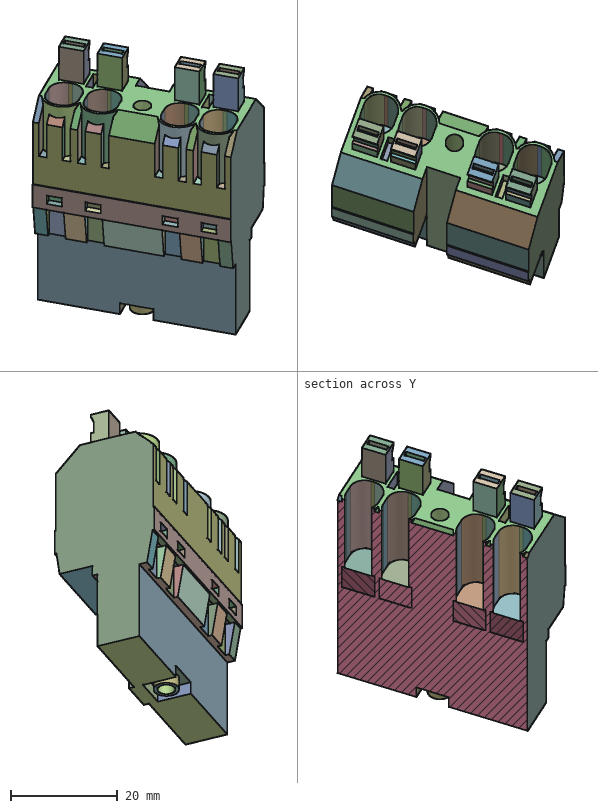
import cadquery as cq

WIDTH = 39.0
DEPTH = 20.6
HEIGHT = 52.4

TOP_Z = 45.05
BAND_TOP_Z = 27.6
BAND_BOTTOM_Z = 22.55
REAR_SHOULDER_Z = 17.85
TAIL_TOP_Z = 15.8

BAND_PROUD = 0.2
FRONT_CHAMFER = 3.65
REAR_CHAMFER = 5.05
TAPER_INSET = 0.35
FRONT_TAPER_FOOT_Y = 1.5
REAR_TAPER_FOOT_INSET = 1.0
TAIL_FRONT_Y = 3.1
TAIL_REAR_Y = 11.75
NECK_REAR_Y = 12.8

PITCH = 7.6
POLE_XS = [step * PITCH for step in (-2, -1, 1, 2)]

HOLE_WIDTH = 6.6
HOLE_LENGTH = 7.75
HOLE_CORNER_RADIUS = 2.95
HOLE_CENTRE_Y = 5.85
FUNNEL_RADIUS = 4.0
FUNNEL_Y = 5.35

SLOT_SPAN = 6.2
TONGUE_WIDTH = 3.1
SLOT_FLOOR_Z = 34.05

WINDOW_WIDTH = 3.05
WINDOW_BOTTOM_Z = 23.85
WINDOW_HEIGHT = 1.9
WINDOW_DEPTH = 1.35

NOTCH_WIDTH = 3.45
NOTCH_BACK_Y = 2.3

LEVER_WIDTH = 4.9
LEVER_FRONT_Y = 10.25
LEVER_REAR_Y = 14.05
LEVER_BOTTOM_Z = BAND_TOP_Z
HOOK_LIP_Z = 52.0
HOOK_NECK_Z = 50.65
HOOK_STEP_Z = 48.4
HOOK_DEPTH = 0.65
LEVER_GROOVE_LENGTH = 4.0
LEVER_GROOVE_WIDTH = 1.0
LEVER_GROOVE_DEPTH = 2.1

POCKET_X = 1.5 * PITCH
POCKET_WIDTH = 1.35
POCKET_FRONT_Y = 9.6
POCKET_REAR_Y = 14.1
POCKET_DEPTH = 3.15

CHANNEL_WIDTH = 6.6
SCREW_Y = 6.6
SCREW_BORE_DIAMETER = 3.35
SCREW_BOSS_DIAMETER = 4.75
RECESS_HEIGHT = 2.45
RECESS_REAR_Y = SCREW_Y + CHANNEL_WIDTH / 2

CONTACT_WIDTH = HOLE_WIDTH
CONTACT_FRONT_Y = WINDOW_DEPTH
CONTACT_REAR_Y = HOLE_CENTRE_Y + HOLE_LENGTH / 2
CONTACT_BOTTOM_Z = BAND_BOTTOM_Z
CONTACT_TOP_Z = BAND_TOP_Z


def block(x_centre, x_width, y_front, y_rear, z_bottom, z_top):
    """Box centred on x_centre, running between the given depths and heights."""
    return (
        cq.Workplane("XY", origin=(x_centre, 0, z_bottom))
        .center(0, (y_front + y_rear) / 2)
        .rect(x_width, y_rear - y_front)
        .extrude(z_top - z_bottom)
    )


def side_profile(points, x_centre, x_width):
    """Closed (y, z) outline extruded along X, centred on x_centre."""
    return (
        cq.Workplane("YZ", origin=(x_centre - x_width / 2, 0, 0))
        .polyline(points)
        .close()
        .extrude(x_width)
    )


def cylinder(x_centre, y_centre, diameter, z_bottom, z_top):
    """Upright cylinder between two heights."""
    return (
        cq.Workplane("XY", origin=(x_centre, y_centre, z_bottom))
        .circle(diameter / 2)
        .extrude(z_top - z_bottom)
    )


def make_lever(x):
    """Push lever with a hooked rear face and a screwdriver groove in its top."""
    outline = [
        (LEVER_FRONT_Y, LEVER_BOTTOM_Z),
        (LEVER_REAR_Y, LEVER_BOTTOM_Z),
        (LEVER_REAR_Y, HOOK_STEP_Z),
        (LEVER_REAR_Y - HOOK_DEPTH, HOOK_STEP_Z),
        (LEVER_REAR_Y - HOOK_DEPTH, HOOK_NECK_Z),
        (LEVER_REAR_Y, HOOK_LIP_Z),
        (LEVER_REAR_Y, HEIGHT),
        (LEVER_FRONT_Y, HEIGHT),
    ]
    middle_y = (LEVER_FRONT_Y + LEVER_REAR_Y) / 2
    groove = block(
        x,
        LEVER_GROOVE_LENGTH,
        middle_y - LEVER_GROOVE_WIDTH / 2,
        middle_y + LEVER_GROOVE_WIDTH / 2,
        HEIGHT - LEVER_GROOVE_DEPTH,
        HEIGHT,
    )
    return side_profile(outline, x, LEVER_WIDTH).cut(groove)


def make_contact(x):
    """Contact block that closes the wire hole below and the test window from behind."""
    return block(x, CONTACT_WIDTH, CONTACT_FRONT_Y, CONTACT_REAR_Y, CONTACT_BOTTOM_Z, CONTACT_TOP_Z)


def housing_blank():
    """Housing side profile over the full width, without the channel or the poles."""
    front_y = BAND_PROUD
    rear_y = DEPTH - BAND_PROUD
    outline = [
        (TAIL_FRONT_Y, 0),
        (TAIL_FRONT_Y, TAIL_TOP_Z),
        (FRONT_TAPER_FOOT_Y, TAIL_TOP_Z),
        (TAPER_INSET, BAND_BOTTOM_Z),
        (0, BAND_BOTTOM_Z),
        (0, BAND_TOP_Z),
        (front_y, BAND_TOP_Z),
        (front_y, TOP_Z - FRONT_CHAMFER),
        (front_y + FRONT_CHAMFER, TOP_Z),
        (rear_y - REAR_CHAMFER, TOP_Z),
        (rear_y, TOP_Z - REAR_CHAMFER),
        (rear_y, BAND_TOP_Z),
        (DEPTH, BAND_TOP_Z),
        (DEPTH, BAND_BOTTOM_Z),
        (DEPTH - TAPER_INSET, BAND_BOTTOM_Z),
        (DEPTH - REAR_TAPER_FOOT_INSET, REAR_SHOULDER_Z),
        (NECK_REAR_Y, REAR_SHOULDER_Z),
        (NECK_REAR_Y, TAIL_TOP_Z),
        (TAIL_REAR_Y, TAIL_TOP_Z),
        (TAIL_REAR_Y, 0),
    ]
    return side_profile(outline, 0, WIDTH)


def add_centre_features(housing):
    """Rear channel with its key rib, foot recess with its boss, and the screw bore."""
    channel = block(0, CHANNEL_WIDTH, NECK_REAR_Y, DEPTH, 0, TOP_Z)
    rib = block(0, CHANNEL_WIDTH, TAIL_REAR_Y, NECK_REAR_Y, 0, TAIL_TOP_Z)
    recess = block(0, CHANNEL_WIDTH, TAIL_FRONT_Y, RECESS_REAR_Y, 0, RECESS_HEIGHT)
    boss = cylinder(0, SCREW_Y, SCREW_BOSS_DIAMETER, 0, RECESS_HEIGHT)
    bore = cylinder(0, SCREW_Y, SCREW_BORE_DIAMETER, 0, TOP_Z)
    return housing.cut(channel).union(rib).cut(recess).union(boss).cut(bore)


def add_funnel(housing, x):
    """Round funnel behind two front slots, bored with a wire hole of rounded rectangular section."""
    slots = block(x, SLOT_SPAN, 0, FUNNEL_Y, SLOT_FLOOR_Z, TOP_Z)
    tongue = block(x, TONGUE_WIDTH, 0, FUNNEL_Y, SLOT_FLOOR_Z, TOP_Z)
    funnel = cylinder(x, FUNNEL_Y, 2 * FUNNEL_RADIUS, SLOT_FLOOR_Z, TOP_Z)
    wire_hole = (
        cq.Workplane("XY", origin=(x, HOLE_CENTRE_Y, CONTACT_TOP_Z))
        .rect(HOLE_WIDTH, HOLE_LENGTH)
        .extrude(TOP_Z - CONTACT_TOP_Z)
        .edges("|Z")
        .fillet(HOLE_CORNER_RADIUS)
    )
    return housing.cut(slots.cut(tongue)).union(funnel).cut(wire_hole)


def cut_front_openings(housing, x):
    """Test window in the band and the notch in the taper below it."""
    window = block(x, WINDOW_WIDTH, 0, WINDOW_DEPTH, WINDOW_BOTTOM_Z, WINDOW_BOTTOM_Z + WINDOW_HEIGHT)
    notch = block(x, NOTCH_WIDTH, 0, NOTCH_BACK_Y, TAIL_TOP_Z, BAND_BOTTOM_Z)
    return housing.cut(window).cut(notch)


def cut_lever_pockets(housing):
    """Narrow pocket between the two levers on each side."""
    for x in (-POCKET_X, POCKET_X):
        pocket = block(x, POCKET_WIDTH, POCKET_FRONT_Y, POCKET_REAR_Y, TOP_Z - POCKET_DEPTH, TOP_Z)
        housing = housing.cut(pocket)
    return housing


def cut_body_seats(housing, x):
    """Seats that match the lever shank and the contact of one pole."""
    lever_seat = block(x, LEVER_WIDTH, LEVER_FRONT_Y, LEVER_REAR_Y, LEVER_BOTTOM_Z, TOP_Z)
    return housing.cut(lever_seat).cut(make_contact(x))


def make_housing():
    """Complete housing with all four poles."""
    housing = add_centre_features(housing_blank())
    for x in POLE_XS:
        housing = add_funnel(housing, x)
        housing = cut_front_openings(housing, x)
        housing = cut_body_seats(housing, x)
    return cut_lever_pockets(housing)


housing = make_housing()
levers = [make_lever(x) for x in POLE_XS]
contacts = [make_contact(x) for x in POLE_XS]

result = cq.Compound.makeCompound(
    [housing.val(), *[lever.val() for lever in levers], *[contact.val() for contact in contacts]]
)